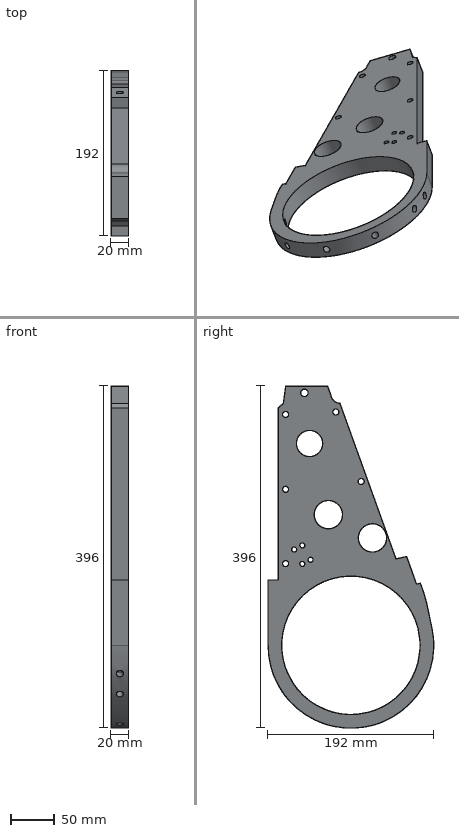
import cadquery as cq
import math

thickness = 20.0
overall_height = 396.0
ring_diameter = 192.0
bore_diameter = 160.0
ring_radius = ring_diameter / 2
top_z = overall_height - ring_radius

straight_side_y = -84.5
shelf_z = 75.5

flank_point = (88.0, 48.5)
flank_top = (80.5, 72.0)
pad_lower = (76.0, 71.0)
pad_upper = (64.5, 103.0)

tip_hole_diameter = 8.5
tip_hole_centers = [(-54.0, 292.2)]
edge_hole_diameter = 6.7
edge_hole_centers = [(-17.5, 270.0), (12.0, 189.5), (-75.5, 267.3), (-75.5, 180.5), (-75.5, 94.5)]
cluster_hole_diameter = 5.5
cluster_hole_centers = [(-56.2, 115.5), (-65.7, 111.0), (-46.7, 99.0), (-56.2, 94.2)]
upper_window_diameter = 30.0
upper_window_centers = [(-48.0, 233.5)]
lower_window_diameter = 32.5
lower_window_centers = [(-26.0, 151.3), (25.0, 124.5)]

rim_hole_diameter = 8.0
rim_hole_angles = [-36 * step for step in range(5)] + [-160]
pad_hole_depth = 19.8
cut_margin = 4.0


def ring_point(angle):
    """Point on the outer ring at an angle in radians."""
    return (ring_radius * math.cos(angle), ring_radius * math.sin(angle))


def make_plate():
    flank_distance = math.hypot(*flank_point)
    flank_angle = math.atan2(flank_point[1], flank_point[0])
    tangent_angle = flank_angle - math.acos(ring_radius / flank_distance)
    return (
        cq.Workplane("YZ")
        .moveTo(-27.0, top_z)
        .lineTo(-75.5, top_z)
        .lineTo(-78.5, 280.0)
        .lineTo(straight_side_y, 275.0)
        .lineTo(straight_side_y, shelf_z)
        .lineTo(-ring_radius, shelf_z)
        .lineTo(-ring_radius, 0)
        .threePointArc((0, -ring_radius), ring_point(tangent_angle))
        .lineTo(*flank_point)
        .lineTo(84.5, 61.5)
        .lineTo(*flank_top)
        .lineTo(*pad_lower)
        .lineTo(*pad_upper)
        .lineTo(52.3, 100.0)
        .lineTo(-12.5, 280.5)
        .threePointArc((-19.8, 283.0), (-23.0, 289.5))
        .close()
        .extrude(thickness)
    )


def cross_holes(centers, diameter):
    """Cylinders through the full thickness."""
    return cq.Workplane("YZ").pushPoints(centers).circle(diameter / 2).extrude(thickness)


def rim_cylinder(start, angle, length):
    """Cylinder at mid thickness from a (y, z) point, along an angle in radians."""
    return cq.Workplane(
        cq.Solid.makeCylinder(
            rim_hole_diameter / 2,
            length,
            cq.Vector(thickness / 2, *start),
            cq.Vector(0, math.cos(angle), math.sin(angle)),
        )
    )


result = make_plate().cut(cross_holes([(0, 0)], bore_diameter))

for hole_centers, hole_diameter in [
    (tip_hole_centers, tip_hole_diameter),
    (edge_hole_centers, edge_hole_diameter),
    (cluster_hole_centers, cluster_hole_diameter),
    (upper_window_centers, upper_window_diameter),
    (lower_window_centers, lower_window_diameter),
]:
    result = result.cut(cross_holes(hole_centers, hole_diameter))

for degrees in rim_hole_angles:
    result = result.cut(rim_cylinder((0, 0), math.radians(degrees), ring_radius + cut_margin))

pad_middle = ((pad_lower[0] + pad_upper[0]) / 2, (pad_lower[1] + pad_upper[1]) / 2)
pad_inward_angle = math.atan2(pad_lower[0] - pad_upper[0], pad_upper[1] - pad_lower[1]) + math.pi
result = result.cut(rim_cylinder(pad_middle, pad_inward_angle, pad_hole_depth))